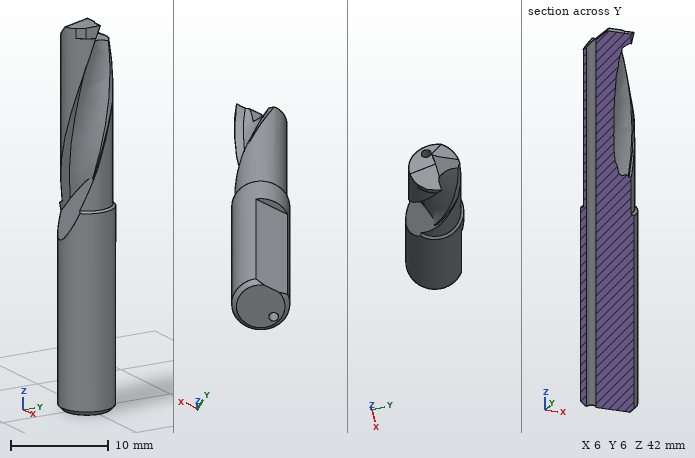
import cadquery as cq
import math

total_length = 42.0

shank_radius = 3.0
shank_chamfer = 0.5
shoulder_z = 21.85
shoulder_rise = 0.2
flat_y = 2.35
flat_length = 18.0

neck_radius = 2.7
helix_lead = 51.5
coolant_hole_diameter = 1.0
coolant_hole_xy = (-1.76, -0.43)

flute_face_root = (1.8, -0.05)
flute_floor_mid = (0.25, 0.95)
flute_floor_end = (-0.42, 2.36)
flute_rim = (-0.93, 2.53)
flute_start_z = 17.0
clearance = 4.0

runout_point = (-0.4, -2.97, 18.5)
runout_slope_x = -0.197
runout_slope_z = 0.412
blend_edge_start = (-2.35, 20.8)
blend_edge_rise = 1.12
blend_angle = 6.0

end_relief_angle = 9.0
end_slant_x = 0.93
end_slant_y = 0.23
face_y = 0.1
gash_z = 40.62
gash_angle = 22.0
side_gash_edge = ((-1.1, 0.65), (-0.4, 2.75))
side_gash_angle = 25.0
gash_toe_angle = 10.0
lip_height = 1.4
lip_corner = (2.88, face_y)
lip_relief_break = (2.28, -1.45)
lip_relief_end = (1.56, -2.2)


def half_space(point, normal):
    """Large block on the side of a plane that its normal points to."""
    size = 4 * total_length
    plane = cq.Plane(origin=point, normal=normal)
    return cq.Workplane(plane).rect(size, size).extrude(size)


def tilted(normal, edge, angle):
    """Unit normal of a plane turned by an angle about an edge lying in it."""
    turn = math.radians(angle)
    return normal * math.cos(turn) + edge.cross(normal) * math.sin(turn)


def make_body():
    """Shank, shoulder and neck, with the clamping flat."""
    profile = [
        (0, 0),
        (shank_radius - shank_chamfer, 0),
        (shank_radius, shank_chamfer),
        (shank_radius, shoulder_z),
        (neck_radius, shoulder_z + shoulder_rise),
        (neck_radius, total_length),
        (0, total_length),
    ]
    body = cq.Workplane("XZ").polyline(profile).close().revolve(360, (0, 0), (0, 1))
    flat = cq.Workplane("XY").box(
        2 * clearance, clearance, flat_length, centered=(True, False, False)
    )
    return body.cut(flat.translate((0, flat_y, 0)))


def add_lip(body):
    """Cutting lip standing proud of the neck, backed by two flat reliefs."""
    lip_bottom = cq.Workplane("XY").workplane(offset=total_length - lip_height)
    lip_edges = [lip_corner, lip_relief_break, lip_relief_end]
    lip = lip_bottom.polyline([(0, face_y)] + lip_edges).close().extrude(lip_height)
    outside = [
        (lip_relief_end[0], -clearance),
        (clearance, -clearance),
        (clearance, face_y),
    ]
    relief = lip_bottom.polyline(lip_edges + outside).close().extrude(lip_height)
    return body.union(lip).cut(relief)


def make_flute():
    """Helical flute, ended by the runout plane and a slight blend above it."""
    length = total_length - flute_start_z
    twist = 360 * length / helix_lead
    flute = (
        cq.Workplane("XY")
        .moveTo(clearance, 0)
        .lineTo(*flute_face_root)
        .threePointArc(flute_floor_mid, flute_floor_end)
        .lineTo(*flute_rim)
        .lineTo(flute_rim[0], clearance)
        .lineTo(clearance, clearance)
        .close()
        .twistExtrude(length, twist)
        .rotate((0, 0, 0), (0, 0, 1), -twist)
        .translate((0, 0, flute_start_z))
    )
    runout_normal = cq.Vector(runout_slope_x, -1, runout_slope_z).normalized()
    edge_fall = runout_slope_x + runout_slope_z * blend_edge_rise
    blend_edge = cq.Vector(1, edge_fall, blend_edge_rise).normalized()
    blend_normal = tilted(runout_normal, blend_edge, blend_angle)
    blend_y = (
        runout_point[1]
        + runout_slope_x * (blend_edge_start[0] - runout_point[0])
        + runout_slope_z * (blend_edge_start[1] - runout_point[2])
    )
    blend_point = (blend_edge_start[0], blend_y, blend_edge_start[1])
    runout = half_space(runout_point, runout_normal)
    blend = half_space(blend_point, blend_normal)
    return flute.intersect(runout).intersect(blend)


def make_end_cuts():
    """Blocks above the two end faces."""
    apex = (0, 0, total_length)
    relief_slope = math.tan(math.radians(end_relief_angle))
    over_relief = half_space((0, face_y, total_length), (0, -relief_slope, 1))
    over_slant = half_space(apex, (-end_slant_x, -end_slant_y, 1))
    return over_relief, over_slant


def make_gash():
    """Gash in front of the cutting face: floor, side fall and toe strip."""
    ahead_of_face = half_space((0, face_y, 0), (0, 1, 0))
    slope = math.tan(math.radians(gash_angle))
    floor = half_space((0, face_y, gash_z), (0, slope, 1))
    gash = floor.intersect(ahead_of_face)

    points = [cq.Vector(x, y, gash_z - slope * (y - face_y)) for x, y in side_gash_edge]
    edge = (points[1] - points[0]).normalized()
    floor_normal = cq.Vector(0, slope, 1).normalized()
    side_normal = tilted(floor_normal, edge, side_gash_angle)
    side = half_space(points[0], side_normal).intersect(ahead_of_face)

    toe_slope = math.tan(math.radians(gash_toe_angle))
    side_fall = side_normal.x / side_normal.z
    toe = half_space(points[0], (side_fall, toe_slope, 1)).intersect(ahead_of_face)
    return gash, side, toe


def make_coolant_hole():
    hole = cq.Workplane("XY").center(*coolant_hole_xy)
    return hole.circle(coolant_hole_diameter / 2).extrude(total_length)


result = add_lip(make_body())
for cutter in [make_flute(), *make_end_cuts(), *make_gash(), make_coolant_hole()]:
    result = result.cut(cutter)